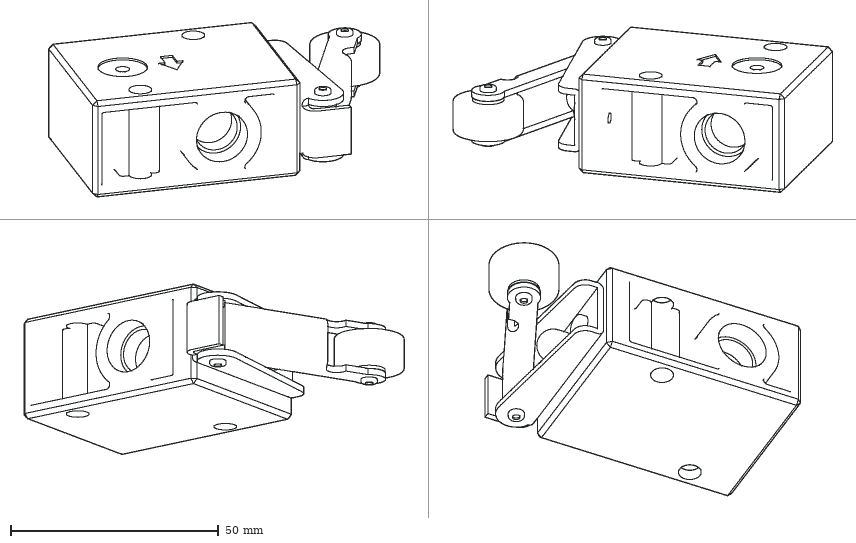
import cadquery as cq
import math


block_width = 40.1
block_length = 52.05
block_thickness = 25.0
block_chamfer = 1.1
left_face_x = -block_width / 2
margin = 0.1

mount_hole_diameter = 5.5
mount_hole_x = 15.0
left_mount_hole_y = 35.2
right_mount_hole_y = 13.1

mark_depth = 0.5
disc_diameter = 12.0
disc_y = 13.05
vent_diameter = 3.3
vent_point_depth = 1.0

arrow_y = 25.2
arrow_tail_x = -4.0
arrow_tip_x = 5.15
arrow_shaft_half_width = 1.5
arrow_head_half_width = 3.1

bore_y = 16.1
bore_mouth_radius = 6.4
bore_seat_radius = 6.15
bore_seat_depth = 5.15
bore_inner_radius = 5.3
bore_inner_depth = 10.0
bore_point_depth = 3.0

pocket_depth = 9.0
pocket_half_height = 9.6
pocket_start_y = 2.9
pocket_end_y = 46.15
bore_wall_radius = 10.0
pocket_fillet = 0.5
pocket_tip_fillet = 1.0

post_width = 10.1
post_corner_fillet = 1.0

port_diameter = 2.5
port_x = -13.1
port_depth = 1.25

sheet = 1.6
bracket_left_x = -17.4
bracket_right_x = 20.9
bracket_half_width = 8.0
bracket_left_height = 6.15
bracket_corner_fillet = 3.25
bracket_ear_radius = 5.0
bracket_inner_half_width = bracket_half_width - sheet

tab_outer_x = 24.95
tab_half_width = 6.1
tab_end_y = 63.2
tab_bend_radius = 3.0

pivot_x = 18.5
pivot_y = 58.0
roller_x = -20.0
roller_radius = 8.5
roller_y = 74.7
roller_half_width = 4.0
roller_edge_fillet = 0.4
roller_hub_radius = 3.8

lever_length = math.hypot(pivot_x - roller_x, pivot_y - roller_y)
lever_angle = math.degrees(math.atan2(pivot_y - roller_y, pivot_x - roller_x))
lever_top_height = 3.3
lever_bottom_height = 3.5
lever_bend_radius = 1.8
lever_eye_radius = 4.0
lever_half_width = bracket_inner_half_width
lever_inner_half_width = lever_half_width - sheet
notch_radius = 2.5
notch_position = 10.9

pin_head_radius = 2.0
pin_shaft_radius = 1.5
pin_head_height = 1.0
pin_head_fillet = 0.5
pin_dimple_radius = 0.9
pin_dimple_depth = 0.5

plunger_radius = 4.0
plunger_dome_y = 57.05
stud_x = -9.15
stud_radius = 2.9
stud_top_y = 55.8
stud_fillet = 0.8


def box_between(x_range, y_range, z_range):
    sizes = [high - low for low, high in (x_range, y_range, z_range)]
    return cq.Workplane().box(*sizes, centered=False).translate((x_range[0], y_range[0], z_range[0]))


def z_cylinder(x, y, radius, half_height):
    return cq.Workplane(origin=(x, y, -half_height)).circle(radius).extrude(2 * half_height)


def x_revolution(profile, y):
    """Revolve (depth, radius) points about an X-parallel axis that starts on the left face."""
    points = [(left_face_x + depth, radius) for depth, radius in profile]
    return cq.Workplane().polyline(points).close().revolve(360, (0, 0), (1, 0)).translate((0, y, 0))


def make_pocket():
    """Space beside the port bore: two chambers divided by the round wall of the bore."""
    floor_x = left_face_x + pocket_depth
    x_range = (left_face_x, floor_x)
    z_range = (-pocket_half_height, pocket_half_height)
    bore_wall = (
        cq.Workplane("YZ", origin=(left_face_x, bore_y, 0)).circle(bore_wall_radius).extrude(pocket_depth)
    )
    pocket = box_between(x_range, (pocket_start_y, pocket_end_y), z_range).cut(bore_wall)
    tip_corners = cq.selectors.BoxSelector(
        (left_face_x - margin, bore_y - bore_wall_radius / 2, -block_thickness),
        (floor_x + margin, bore_y + bore_wall_radius / 2, block_thickness),
    )
    pocket = pocket.edges("|X").edges(tip_corners).fillet(pocket_tip_fillet)
    pocket = pocket.edges("|X and (>Y or <Y)").fillet(pocket_fillet)
    post = box_between(
        (-mount_hole_x, floor_x),
        (left_mount_hole_y - post_width / 2, left_mount_hole_y + post_width / 2),
        z_range,
    )
    pocket = pocket.cut(post.edges("|Z and <X").fillet(post_corner_fillet))
    return pocket.faces(">X").edges().fillet(pocket_fillet)


def make_bore():
    """Tapered port with a seat, a narrower inner bore and a conical end."""
    return x_revolution(
        [
            (0, 0),
            (0, bore_mouth_radius),
            (bore_seat_depth, bore_seat_radius),
            (bore_seat_depth, bore_inner_radius),
            (bore_inner_depth, bore_inner_radius),
            (bore_inner_depth + bore_point_depth, 0),
        ],
        bore_y,
    )


def make_top_marks():
    """Shallow arrow and disc recesses in the top face, with a pointed vent in the disc."""
    mark_floor_z = block_thickness / 2 - mark_depth
    floor = cq.Workplane(origin=(0, 0, mark_floor_z))
    disc = floor.center(0, disc_y).circle(disc_diameter / 2).extrude(mark_depth)
    vent = cq.Solid.makeCone(
        vent_diameter / 2, 0, vent_point_depth, cq.Vector(0, disc_y, mark_floor_z), cq.Vector(0, 0, -1)
    )
    arrow = (
        floor.center(0, arrow_y)
        .moveTo(arrow_tail_x, arrow_shaft_half_width)
        .lineTo(0, arrow_shaft_half_width)
        .lineTo(0, arrow_head_half_width)
        .lineTo(arrow_tip_x, 0)
        .lineTo(0, -arrow_head_half_width)
        .lineTo(0, -arrow_shaft_half_width)
        .lineTo(arrow_tail_x, -arrow_shaft_half_width)
        .close()
        .extrude(mark_depth)
    )
    return disc.union(cq.Workplane(vent)).union(arrow)


def turn_to_right_side(shape):
    """Half turn about the Z-parallel line midway between the two mounting holes."""
    turn_y = (left_mount_hole_y + right_mount_hole_y) / 2
    return shape.rotate((0, turn_y, -0.8), (0, turn_y, 0.8), 180)


def cut_left_side(block):
    """Cut the pocket, the grooved post and the port bore into the -X side of the block."""
    block = block.cut(make_pocket())
    mouth_edges = cq.selectors.BoxSelector(
        (left_face_x - margin, pocket_start_y - margin, -pocket_half_height - margin),
        (left_face_x + margin, pocket_end_y + margin, pocket_half_height + margin),
    )
    block = block.edges(mouth_edges).fillet(pocket_fillet)
    block = block.cut(z_cylinder(-mount_hole_x, left_mount_hole_y, mount_hole_diameter / 2, block_thickness))
    groove_lips = cq.selectors.BoxSelector(
        (-mount_hole_x - margin, left_mount_hole_y - mount_hole_diameter, -margin),
        (-mount_hole_x + margin, left_mount_hole_y + mount_hole_diameter, margin),
    )
    block = block.edges("|Z").edges(groove_lips).fillet(pocket_fillet)
    return block.cut(make_bore())


def make_housing():
    """Block whose two port sides match each other after a half turn."""
    block = cq.Workplane().box(block_width, block_length, block_thickness)
    block = block.translate((0, block_length / 2, 0)).edges().chamfer(block_chamfer)
    block = cut_left_side(block)
    block = turn_to_right_side(cut_left_side(turn_to_right_side(block)))
    port = (
        cq.Workplane("XZ", origin=(port_x, pocket_end_y, 0)).circle(port_diameter / 2).extrude(-port_depth)
    )
    return block.cut(make_top_marks()).cut(port)


def make_bracket():
    """U-shaped sheet with sloping sides that end in round ears about the pivot."""
    corner_x = bracket_left_x
    corner_y = block_length + bracket_left_height
    to_pivot = math.atan2(pivot_y - corner_y, pivot_x - corner_x)
    distance = math.hypot(pivot_x - corner_x, pivot_y - corner_y)
    tangent_angle = to_pivot + math.asin(bracket_ear_radius / distance) + math.pi / 2
    foot_angle = -math.acos((bracket_right_x - pivot_x) / bracket_ear_radius)

    def ear_point(angle):
        return (
            pivot_x + bracket_ear_radius * math.cos(angle),
            pivot_y + bracket_ear_radius * math.sin(angle),
        )

    foot_point = ear_point(foot_angle)
    bracket = (
        cq.Workplane(origin=(0, 0, -bracket_half_width))
        .moveTo(bracket_left_x, block_length)
        .lineTo(bracket_right_x, block_length)
        .lineTo(*foot_point)
        .threePointArc(ear_point(0), ear_point(tangent_angle))
        .lineTo(corner_x, corner_y)
        .close()
        .extrude(2 * bracket_half_width)
    )
    bracket = bracket.edges("|X and <Y").fillet(sheet)
    left_corner = cq.selectors.NearestToPointSelector((corner_x, corner_y, 0))
    bracket = bracket.edges("|Z").edges(left_corner).fillet(bracket_corner_fillet)
    inside = box_between(
        (bracket_left_x - sheet, tab_outer_x),
        (block_length + sheet, tab_end_y + sheet),
        (-bracket_inner_half_width, bracket_inner_half_width),
    )
    return bracket.cut(inside)


def make_tab():
    """Stop tab that runs on from the bracket floor and bends up toward +Y."""
    x_range = (pivot_x, tab_outer_x)
    z_range = (-tab_half_width, tab_half_width)
    tab = box_between(x_range, (block_length, tab_end_y), z_range)
    tab = tab.edges("|Z and >X and <Y").fillet(tab_bend_radius)
    inside = box_between(
        (pivot_x, tab_outer_x - sheet), (block_length + sheet, tab_end_y), z_range
    )
    return tab.cut(inside.edges("|Z and >X and <Y").fillet(tab_bend_radius - sheet))


def place_on_lever(shape):
    """Move a shape from lever coordinates, roller at the origin and pivot on +X, into place."""
    return shape.rotate((0, 0, 0), (0, 0, 1), lever_angle).translate((roller_x, roller_y, 0))


def make_lever():
    """Channel-shaped lever whose web stops at a notch; two flat arms run on to the roller."""
    z_range = (-lever_half_width, lever_half_width)
    channel = box_between((notch_position, lever_length), (-lever_bottom_height, lever_top_height), z_range)
    channel = channel.edges("|X and >Y").fillet(lever_bend_radius)
    arms = (
        box_between((0, notch_position), (-lever_bottom_height, lever_top_height), z_range)
        .union(z_cylinder(0, 0, lever_eye_radius, lever_half_width))
    )
    pivot_end = (
        cq.Workplane(origin=(0, 0, -lever_half_width))
        .moveTo(lever_length, -lever_bottom_height)
        .threePointArc((lever_length + lever_bottom_height, 0), (lever_length, lever_top_height))
        .close()
        .extrude(2 * lever_half_width)
    )
    inner_z_range = (-lever_inner_half_width, lever_inner_half_width)
    below_web = box_between(
        (-lever_eye_radius, lever_length), (-lever_eye_radius, lever_top_height - sheet), inner_z_range
    )
    below_web = below_web.edges("|X and >Y").fillet(lever_bend_radius - sheet)
    gaps = [
        box_between(x_range, (-lever_eye_radius, lever_eye_radius), inner_z_range)
        for x_range in (
            (-lever_eye_radius, notch_position),
            (lever_length, lever_length + lever_bottom_height),
        )
    ]
    notch = z_cylinder(notch_position, lever_top_height, notch_radius, lever_half_width)
    lever = channel.union(arms).union(pivot_end).cut(below_web)
    for gap in gaps:
        lever = lever.cut(gap)
    return place_on_lever(lever.cut(notch))


def make_pin(x, y, outer_half_width):
    """Riveted pin whose dimpled heads stand on outer faces at +/- outer_half_width."""
    end_z = outer_half_width + pin_head_height
    pin = z_cylinder(x, y, pin_shaft_radius, outer_half_width)
    head = cq.Workplane(origin=(x, y, outer_half_width)).circle(pin_head_radius).extrude(pin_head_height)
    head = head.faces(">Z").edges().fillet(pin_head_fillet)
    dimple = cq.Workplane(origin=(x, y, end_z)).circle(pin_dimple_radius).extrude(-pin_dimple_depth)
    head = head.cut(dimple)
    return pin.union(head).union(head.mirror("XY"))


def make_roller():
    """Roller with rounded rims and a narrower hub that reaches both lever arms."""
    roller = z_cylinder(roller_x, roller_y, roller_radius, roller_half_width)
    roller = roller.edges().fillet(roller_edge_fillet)
    return roller.union(z_cylinder(roller_x, roller_y, roller_hub_radius, lever_inner_half_width))


def make_stud():
    """Round stud that rises from the bracket floor and has a rounded top edge."""
    base_y = block_length + sheet / 2
    stud = cq.Workplane("XZ", origin=(stud_x, base_y, 0)).circle(stud_radius).extrude(base_y - stud_top_y)
    return stud.faces(">Y").edges().fillet(stud_fillet)


def make_plunger():
    """Round plunger with a domed end, standing on the bracket floor under the lever."""
    base_y = block_length + sheet / 2
    shank = cq.Workplane("XZ", origin=(0, base_y, 0)).circle(plunger_radius).extrude(base_y - plunger_dome_y)
    return shank.union(cq.Workplane().sphere(plunger_radius).translate((0, plunger_dome_y, 0)))


def make_head():
    """Bracket, lever, roller, pins and plunger joined as one body."""
    head = make_bracket().union(make_tab()).union(make_lever()).union(make_roller())
    head = head.union(make_pin(pivot_x, pivot_y, bracket_half_width))
    head = head.union(make_pin(roller_x, roller_y, lever_half_width))
    return head.union(make_plunger()).union(make_stud())


housing = make_housing()
lever_head = make_head()
result = cq.Compound.makeCompound([housing.val(), lever_head.val()])